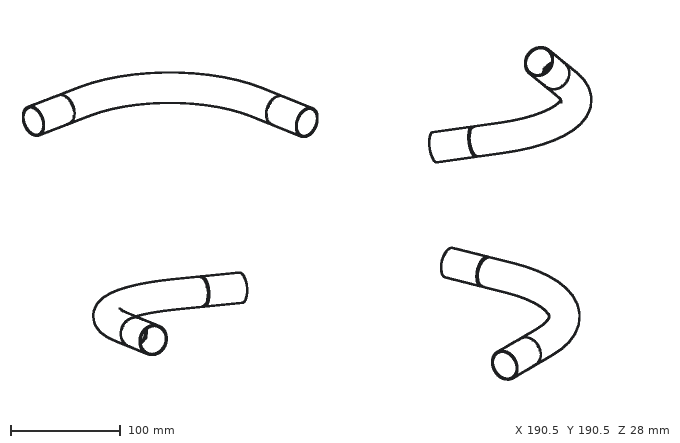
import cadquery as cq
import math

overall_size = 190.5
tube_diameter = 28.0
wall = 1.1
straight_length = 66.3

groove_start = 38.7
groove_bottom = 39.8
groove_end = 41.5
groove_depth = 0.8

outer_radius = tube_diameter / 2
bore_radius = outer_radius - wall
near_end = -overall_size / 2
far_end = overall_size / 2
bend_radius = overall_size - outer_radius - straight_length
leg_x = near_end + outer_radius
bend_start_y = near_end + straight_length


def straight_leg():
    """Revolve the wall section of the leg along Y, including its groove."""
    def wall_point(radius, distance):
        return (leg_x + radius, near_end + distance)

    shoulder_radius = ((groove_end - groove_bottom) ** 2 + groove_depth ** 2) / (2 * groove_depth)
    half_angle = math.atan2(groove_depth, groove_end - groove_bottom)
    arc_middle_drop = shoulder_radius * (1 - math.cos(half_angle))
    arc_middle = groove_end - shoulder_radius * math.sin(half_angle)

    return (
        cq.Workplane("XY")
        .moveTo(*wall_point(bore_radius, 0))
        .lineTo(*wall_point(outer_radius, 0))
        .lineTo(*wall_point(outer_radius, groove_start))
        .lineTo(*wall_point(outer_radius - groove_depth, groove_bottom))
        .threePointArc(
            wall_point(outer_radius - arc_middle_drop, arc_middle),
            wall_point(outer_radius, groove_end),
        )
        .lineTo(*wall_point(outer_radius, straight_length))
        .lineTo(*wall_point(bore_radius, straight_length))
        .lineTo(*wall_point(bore_radius, groove_end))
        .threePointArc(
            wall_point(bore_radius - arc_middle_drop, arc_middle),
            wall_point(bore_radius - groove_depth, groove_bottom),
        )
        .lineTo(*wall_point(bore_radius, groove_start))
        .close()
        .revolve(360, (leg_x, near_end, 0), (leg_x, far_end, 0))
    )


def bend():
    """Revolve the tube ring a quarter turn about the bend centre."""
    return (
        cq.Workplane("XZ", origin=(leg_x, bend_start_y, 0))
        .circle(outer_radius)
        .circle(bore_radius)
        .revolve(90, (bend_radius, 2, 0), (bend_radius, 0, 0))
    )


first_leg = straight_leg()
second_leg = first_leg.rotate((0, 0, 0), (1, -1, 0), 180)
result = first_leg.union(bend()).union(second_leg)